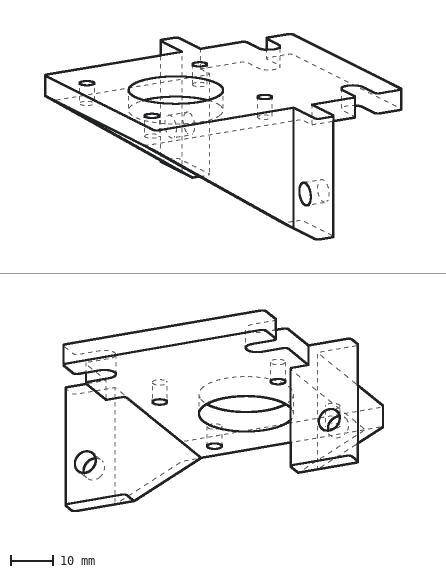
import cadquery as cq

total_width = 75.0
plate_length = 68.0
total_height = 30.0
wall = 5.0
corner_radius = 1.0

plate_width = 53.0
slot_width = 5.5
slot_depth = 9.2
slot_from_back = 10.0

motor_from_front = 21.0
motor_bore = 22.5
motor_hole_spacing = 31.0
motor_hole = 3.5

flange_from_back = 25.0
flange_hole = 5.5
flange_hole_spacing = 64.0
flange_hole_height = 10.0

half_plate = plate_width / 2
plate_bottom = total_height - wall
flange_back = plate_length - flange_from_back
flange_front = flange_back - wall
slot_y = plate_length - slot_from_back
slot_radius = slot_width / 2


def box(x, y, z, width, length, height):
    """Box placed by its lowest corner."""
    return cq.Workplane("XY").box(width, length, height, centered=False).translate((x, y, z))


def round_corners(body, points):
    """Round the vertical edges that pass through the given (x, y) points."""
    reach = corner_radius / 4
    for x, y in points:
        corner = cq.selectors.BoxSelector(
            (x - reach, y - reach, 0), (x + reach, y + reach, total_height)
        )
        body = body.edges("|Z").edges(corner).fillet(corner_radius)
    return body


def side_slot(side):
    """Round-ended slot open at one side of the plate."""
    end_x = half_plate - slot_depth + slot_radius
    slot = box(end_x, slot_y - slot_radius, plate_bottom, slot_depth, slot_width, wall)
    slot_end = (
        cq.Workplane("XY", origin=(end_x, slot_y, plate_bottom)).circle(slot_radius).extrude(wall)
    )
    slot = slot.union(slot_end)
    return slot if side > 0 else slot.mirror("YZ")


def side_wall(side):
    """Full-height wall under one side of the plate, before its slope is cut."""
    start_x = half_plate - wall if side > 0 else -half_plate
    return box(start_x, 0, 0, wall, flange_back, total_height)


def flange(side):
    """Upright mounting ear beside the plate, with its screw hole."""
    ear_width = (total_width - plate_width) / 2
    start_x = half_plate if side > 0 else -total_width / 2
    ear = box(start_x, flange_front, 0, ear_width, wall, total_height)
    hole_center = (side * flange_hole_spacing / 2, flange_back, flange_hole_height)
    hole = cq.Workplane("XZ", origin=hole_center).circle(flange_hole / 2).extrude(wall)
    return ear.cut(hole)


result = box(-half_plate, 0, plate_bottom, plate_width, plate_length, wall)
for side in (-1, 1):
    result = result.cut(side_slot(side)).union(side_wall(side)).union(flange(side))

for side in (-1, 1):
    plate_corners = [
        (side * half_plate, y)
        for y in (0, slot_y - slot_radius, slot_y + slot_radius, plate_length)
    ]
    flange_corners = [(side * total_width / 2, y) for y in (flange_front, flange_back)]
    wall_corners = [(side * (half_plate - wall), flange_back)]
    result = round_corners(result, plate_corners + flange_corners + wall_corners)

slope = (
    cq.Workplane("YZ", origin=(-half_plate, 0, 0))
    .polyline([(0, 0), (0, plate_bottom), (flange_front, 0)])
    .close()
    .extrude(plate_width)
)
result = result.cut(slope)

motor_face = cq.Workplane("XY", origin=(0, motor_from_front, plate_bottom))
bore = motor_face.circle(motor_bore / 2).extrude(wall)
screw_holes = (
    motor_face.rect(motor_hole_spacing, motor_hole_spacing, forConstruction=True)
    .vertices()
    .circle(motor_hole / 2)
    .extrude(wall)
)
result = result.cut(bore).cut(screw_holes)